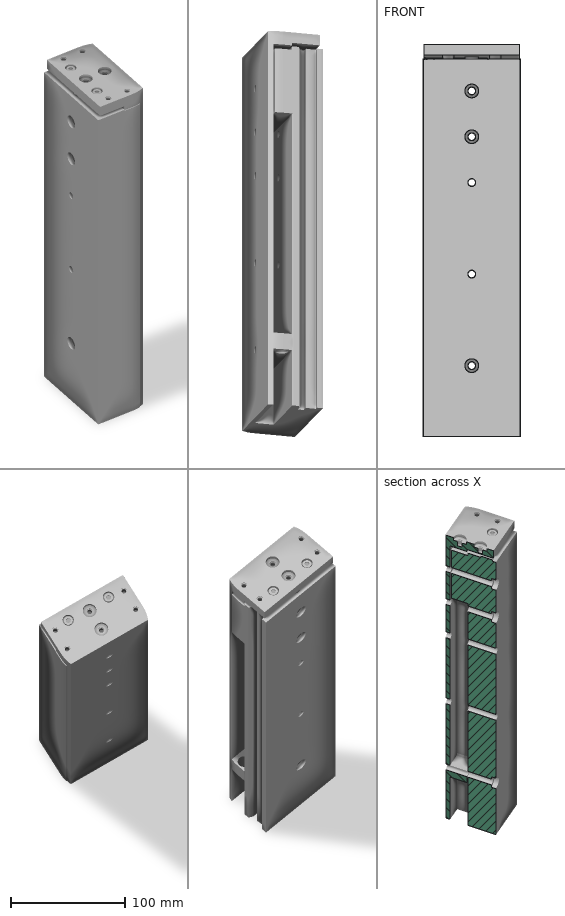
import cadquery as cq
import math

LENGTH = 343
WIDTH = 85.0
DEPTH = 49.0

HOUSING_TOP = 330.0
BODY_BACK = 27.8
BACK_CHAMFER = 1.0
PLATE_BACK = 5.0
SLANT_START = 22.0
SLANT_END = 20.2
SLOT_BACK = 20.0
SLOT_FRONT = 14.5
LIP_STEP = 11.3
NECK_START = 6.2
SLANT_INSET = 3.5
SLOT_INSET = 9.5
LIP_INSET = 3.0
NECK_INSET = 3.5
RAIL_LEFT = 14.5

STOP_JOINT = 329.0
STOP_BOTTOM = 268.2
STOP_BACK = 43.5
FLARE_RISE = 2.0
FLARE_RUN = 1.0
FLARE_START = RAIL_LEFT - FLARE_RUN

TABLE_WIDTH = 83.7
TABLE_INNER = 44.5
TABLE_FRONT = 2.5
END_PLATE_BOTTOM = 333.5
LEG_FRONT = 28.0
ROUND_START = 36.5
ROUND_INSET = 2.5
LOWER_BLOCK_BOTTOM = 51.0
LOWER_BLOCK_TOP = 66.0

HOLE_DIAMETER = 6.5
COUNTERBORE_DIAMETER = 12.0
COUNTERBORE_DEPTH = 4.5
FIRST_HOLE_Z = 62.0
LAST_HOLE_Z = 302.2
PITCH_COUNT = 6
HOLE_PITCH = (LAST_HOLE_Z - FIRST_HOLE_Z) / PITCH_COUNT
COUNTERBORED_STEPS = (0, 5, PITCH_COUNT)
PLAIN_STEPS = (2, 4)

MOUTH_DIAMETER = 5.5
CORE_DIAMETER = 4.0
CORNER_HOLE_X = 35.0
HOLE_ROWS_Y = (15.5, 35.5)
CENTRE_RECESS_DEPTH = 3.0
MOUTH_DEPTH = 0.7
CORE_DEPTH = 8.2
ROD_X = 20.5
ROD_Y = 13.5
ROD_DIAMETER = 10.0
BOLT_RECESS_DIAMETER = 10.0
BOLT_HEAD_DIAMETER = 8.0
SOCKET_DIAMETER = 4.0
BOLT_RECESS_DEPTH = 2.7
BOLT_HEAD_DROP = 1.0
SOCKET_DEPTH = 1.0
BUMPER_HOLE_DIAMETER = 11.0

BOSS_DIAMETER = 12.0
BOSS_Y = 9.3
BOSS_HEIGHT = 1.7


def box(x_range, y_range, z_range):
    """Box between the given X, Y and Z limits."""
    (x0, x1), (y0, y1), (z0, z1) = x_range, y_range, z_range
    return cq.Workplane("XY").box(x1 - x0, y1 - y0, z1 - z0, centered=False).translate((x0, y0, z0))


def z_cylinder(diameter, x, y, z0, z1):
    """Upright cylinder between two heights."""
    return cq.Workplane("XY", origin=(x, y, z0)).circle(diameter / 2).extrude(z1 - z0)


def y_cylinder(diameter, z, y0, y1):
    """Cylinder along Y on the middle plane X = 0."""
    return cq.Workplane("XZ", origin=(0, y0, z)).circle(diameter / 2).extrude(y0 - y1)


def rounded_envelope(width):
    """Full-size block whose back corners curve in, each arc starting tangent to its side."""
    half = width / 2
    back_half = half - ROUND_INSET
    rise = DEPTH - ROUND_START
    radius = (rise**2 + ROUND_INSET**2) / (2 * ROUND_INSET)
    middle_x = half - radius + math.sqrt(radius**2 - (rise / 2) ** 2)
    middle_y = ROUND_START + rise / 2
    return (
        cq.Workplane("XY")
        .moveTo(-half, 0)
        .lineTo(half, 0)
        .lineTo(half, ROUND_START)
        .threePointArc((middle_x, middle_y), (back_half, DEPTH))
        .lineTo(-back_half, DEPTH)
        .threePointArc((-middle_x, middle_y), (-half, ROUND_START))
        .close()
        .extrude(LENGTH)
    )


def rounded_block(width, x_range, y_range, z_range):
    """Block trimmed to the rounded outline of the given width."""
    return box(x_range, y_range, z_range).intersect(rounded_envelope(width))


def flared_block(width, y_range, z_range, flare_bottom, flare_top):
    """Rounded block from the left side to the rail, whose chosen faces flare out just before the rail."""
    left = -width / 2
    z_bottom, z_top = z_range
    y_front, y_back = y_range
    end_bottom = z_bottom - FLARE_RISE if flare_bottom else z_bottom
    end_top = z_top + FLARE_RISE if flare_top else z_top
    prism = (
        cq.Workplane("XZ", origin=(0, y_back, 0))
        .polyline([
            (left, z_bottom),
            (FLARE_START, z_bottom),
            (RAIL_LEFT, end_bottom),
            (RAIL_LEFT, end_top),
            (FLARE_START, z_top),
            (left, z_top),
        ])
        .close()
        .extrude(y_back - y_front)
    )
    return prism.intersect(rounded_envelope(width))


def cut_mounting_holes(body):
    """Row of holes through both bodies, some counterbored at the front face."""
    for step in COUNTERBORED_STEPS + PLAIN_STEPS:
        body = body.cut(y_cylinder(HOLE_DIAMETER, FIRST_HOLE_Z + step * HOLE_PITCH, 0, DEPTH))
    for step in COUNTERBORED_STEPS:
        z = FIRST_HOLE_Z + step * HOLE_PITCH
        body = body.cut(y_cylinder(COUNTERBORE_DIAMETER, z, 0, COUNTERBORE_DEPTH))
    return body


def make_housing():
    half = WIDTH / 2
    body = (
        cq.Workplane("XY")
        .polyline([
            (-half, 0),
            (half, 0),
            (half, BODY_BACK),
            (-half + BACK_CHAMFER, BODY_BACK),
            (-half, BODY_BACK - BACK_CHAMFER),
            (-half, SLANT_START),
            (-half + SLANT_INSET, SLANT_END),
            (-half + SLANT_INSET, SLOT_BACK),
            (-half + SLOT_INSET, SLOT_BACK),
            (-half + SLOT_INSET, SLOT_FRONT),
            (-half + LIP_INSET, SLOT_FRONT),
            (-half + LIP_INSET, LIP_STEP),
            (-half + NECK_INSET, LIP_STEP),
            (-half + NECK_INSET, NECK_START),
            (-half + LIP_INSET, PLATE_BACK),
            (-half, PLATE_BACK),
        ])
        .close()
        .extrude(HOUSING_TOP)
    )
    rail = rounded_block(WIDTH, (RAIL_LEFT, half), (BODY_BACK, TABLE_INNER), (0, STOP_JOINT))
    stop = flared_block(
        WIDTH,
        (BODY_BACK - BACK_CHAMFER, STOP_BACK),
        (STOP_BOTTOM, STOP_JOINT - FLARE_RISE),
        flare_bottom=False,
        flare_top=True,
    )
    boss = z_cylinder(BOSS_DIAMETER, 0, BOSS_Y, HOUSING_TOP, HOUSING_TOP + BOSS_HEIGHT)
    housing = body.union(rail).union(stop).union(boss)
    return cut_mounting_holes(housing)


def cut_end_plate_holes(table):
    """Two rows of small stepped holes in the top of the end plate, the centre ones counterbored."""
    recess_floor = LENGTH - CENTRE_RECESS_DEPTH
    for y in HOLE_ROWS_Y:
        table = table.cut(z_cylinder(COUNTERBORE_DIAMETER, 0, y, recess_floor, LENGTH))
        for x, mouth in ((-CORNER_HOLE_X, LENGTH), (0, recess_floor), (CORNER_HOLE_X, LENGTH)):
            table = table.cut(z_cylinder(MOUTH_DIAMETER, x, y, mouth - MOUTH_DEPTH, mouth))
            table = table.cut(z_cylinder(CORE_DIAMETER, x, y, LENGTH - CORE_DEPTH, mouth))
    return table


def add_rods(table):
    """Rods below the end plate, each with a recessed socket-head bolt above it."""
    head_top = LENGTH - BOLT_HEAD_DROP
    recess_floor = LENGTH - BOLT_RECESS_DEPTH
    for x in (-ROD_X, ROD_X):
        rod = z_cylinder(ROD_DIAMETER, x, ROD_Y, HOUSING_TOP, END_PLATE_BOTTOM)
        recess = z_cylinder(BOLT_RECESS_DIAMETER, x, ROD_Y, recess_floor, LENGTH)
        head = z_cylinder(BOLT_HEAD_DIAMETER, x, ROD_Y, recess_floor, head_top)
        socket = z_cylinder(SOCKET_DIAMETER, x, ROD_Y, head_top - SOCKET_DEPTH, head_top)
        table = table.union(rod).cut(recess).union(head.cut(socket))
    return table


def make_leg():
    """Part of the table that hangs from the end plate down to the stop and the rail."""
    y_range = (LEG_FRONT, TABLE_INNER)
    left_part = flared_block(
        TABLE_WIDTH, y_range, (STOP_JOINT + FLARE_RISE, LENGTH), flare_bottom=True, flare_top=False
    )
    right_part = rounded_block(TABLE_WIDTH, (RAIL_LEFT, TABLE_WIDTH / 2), y_range, (STOP_JOINT, LENGTH))
    return left_part.union(right_part)


def make_lower_block():
    """Block near the bottom of the table with an upright bumper hole at its left end."""
    z_range = (LOWER_BLOCK_BOTTOM, LOWER_BLOCK_TOP)
    block = flared_block(
        TABLE_WIDTH, (LEG_FRONT, TABLE_INNER), z_range, flare_bottom=True, flare_top=True
    )
    return block.cut(z_cylinder(BUMPER_HOLE_DIAMETER, -CORNER_HOLE_X, HOLE_ROWS_Y[-1], *z_range))


def make_table():
    sides = (-TABLE_WIDTH / 2, TABLE_WIDTH / 2)
    plate = rounded_block(TABLE_WIDTH, sides, (TABLE_INNER, DEPTH), (0, LENGTH))
    end_plate = rounded_block(TABLE_WIDTH, sides, (TABLE_FRONT, DEPTH), (END_PLATE_BOTTOM, LENGTH))
    table = plate.union(end_plate).union(make_leg()).union(make_lower_block())
    return add_rods(cut_mounting_holes(cut_end_plate_holes(table)))


housing = make_housing()
table = make_table()
result = cq.Compound.makeCompound([housing.val(), table.val()])